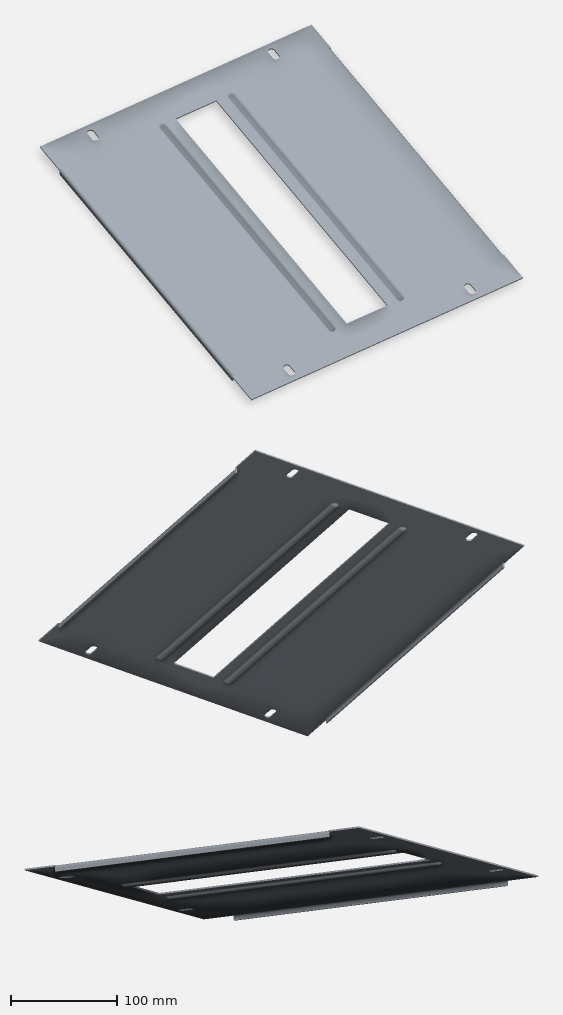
import cadquery as cq
import math

panel_length = 380.0
panel_width = 299.0
panel_height = 6.5
sheet = 1.5

flange_length = 311.0
bend_outer_radius = 3.0
bend_inner_radius = bend_outer_radius - sheet

window_length = 307.8
window_width = 45.0

slot_length = 15.2
slot_width = 7.0
slot_spacing_x = 352.5
slot_spacing_y = 199.0

groove_straight = 304.0
groove_half_width = 5.13
groove_depth = 2.3
groove_offset_y = 37.5
groove_radius = (groove_half_width**2 + groove_depth**2) / (4 * groove_depth)


def make_flat_sheet():
    slots = (
        cq.Workplane("XY")
        .rarray(slot_spacing_x, slot_spacing_y, 2, 2)
        .slot2D(slot_length, slot_width)
        .extrude(-sheet)
    )
    window = cq.Workplane("XY").rect(window_length, window_width).extrude(-sheet)
    panel = cq.Workplane("XY").rect(panel_length, panel_width).extrude(-sheet)
    return panel.cut(slots).cut(window)


def make_bend_corner():
    """Square block of sheet edge that the bend replaces, on the +Y side."""
    return (
        cq.Workplane("XY")
        .box(flange_length, bend_outer_radius, sheet, centered=(True, False, False))
        .translate((0, panel_width / 2 - bend_outer_radius, -sheet))
    )


def make_flange():
    """Rounded bend and downturned lip on the +Y side."""
    outer_y = panel_width / 2
    inner_y = outer_y - sheet
    bend_y = outer_y - bend_outer_radius
    diagonal = math.sqrt(0.5)
    return (
        cq.Workplane("YZ", origin=(-flange_length / 2, 0, 0))
        .moveTo(bend_y, 0)
        .threePointArc(
            (bend_y + bend_outer_radius * diagonal, bend_outer_radius * (diagonal - 1)),
            (outer_y, -bend_outer_radius),
        )
        .lineTo(outer_y, -panel_height)
        .lineTo(inner_y, -panel_height)
        .lineTo(inner_y, -bend_outer_radius)
        .threePointArc(
            (bend_y + bend_inner_radius * diagonal, bend_inner_radius * diagonal - bend_outer_radius),
            (bend_y, -sheet),
        )
        .close()
        .extrude(flange_length)
    )


def half_groove_profile(drop):
    """Half section between Z = 0 and the groove surface offset down by drop."""
    lip_radius = groove_radius - drop
    bowl_radius = groove_radius + drop
    lip_center_z = -groove_radius
    bowl_center_z = groove_radius - groove_depth
    slope = math.asin(groove_half_width / (2 * groove_radius))
    tangent_point = (bowl_radius * math.sin(slope), bowl_center_z - bowl_radius * math.cos(slope))
    lip_middle = (
        groove_half_width - lip_radius * math.sin(slope / 2),
        lip_center_z + lip_radius * math.cos(slope / 2),
    )
    bowl_middle = (
        bowl_radius * math.sin(slope / 2),
        bowl_center_z - bowl_radius * math.cos(slope / 2),
    )
    profile = cq.Workplane("YZ").moveTo(0, 0).lineTo(groove_half_width, 0)
    if drop > 0:
        profile = profile.lineTo(groove_half_width, -drop)
    return (
        profile
        .threePointArc(lip_middle, tangent_point)
        .threePointArc(bowl_middle, (0, -groove_depth - drop))
        .close()
    )


def make_groove_body(drop):
    """Straight groove volume with a revolved round end at each side."""
    straight_half = half_groove_profile(drop).extrude(groove_straight / 2, both=True)
    end = half_groove_profile(drop).revolve(360, (0, 0), (0, 1))
    body = straight_half.union(straight_half.mirror("XZ"))
    for side in (-1, 1):
        body = body.union(end.translate((side * groove_straight / 2, 0, 0)))
    return body


result = make_flat_sheet().cut(make_bend_corner()).cut(make_bend_corner().mirror("XZ"))
result = result.union(make_flange()).union(make_flange().mirror("XZ"))

groove_outside = make_groove_body(sheet)
groove_inside = make_groove_body(0)
for side in (-1, 1):
    position = (0, side * groove_offset_y, 0)
    result = result.union(groove_outside.translate(position)).cut(groove_inside.translate(position))